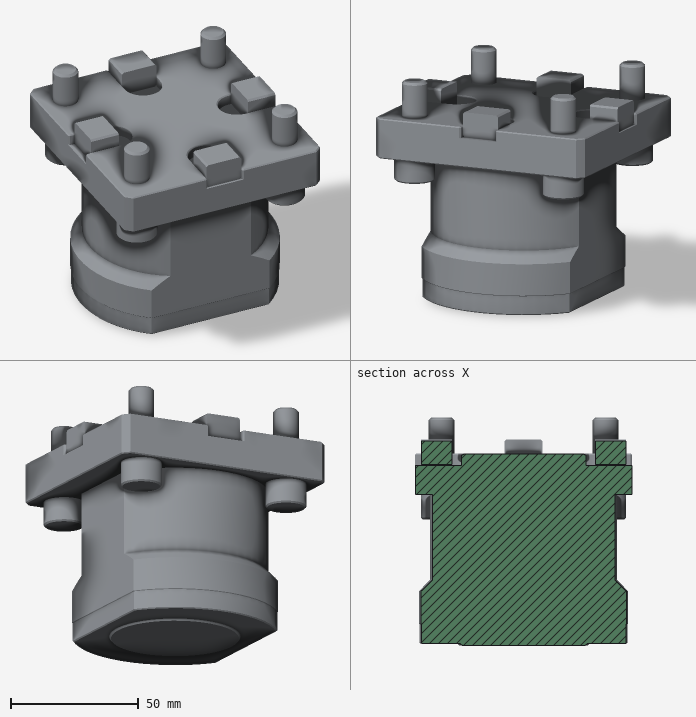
import cadquery as cq

total_height = 89.0
plate_top = 75.0
plate_thickness = 16.0
plate_bottom = plate_top - plate_thickness

plate_x = 90.0
plate_y = 85.0
corner_diameter = 120.0
plate_chamfer = 0.45

flat_width = 64.0
neck_radius = 36.45
body_radius = 40.95
cover_inset = 0.3
pilot_radius = 25.0
pilot_height = 0.7
cover_top = 8.4
cover_chamfer = 0.45
cone_bottom = 21.2
cone_height = body_radius - neck_radius

screw_offset = 32.0
screw_diameter = 10.0
screw_tip_chamfer = 0.9
head_diameter = 16.0
head_height = 9.6
head_chamfer = 0.6

slot_width = 15.0
slot_depth = 4.5
slot_length_x = 23.8
slot_length_y = 23.1
mouth_chamfer = 0.6
key_width = slot_width
key_length = 12.0
key_height = 10.0
key_chamfer = 0.7
key_setback_x = 1.0
key_setback_y = 2.5

slot_floor = plate_top - slot_depth


def key_sides():
    """Angle, distance to the plate side and slot length and key setback for each of the four sides."""
    for quarter in range(4):
        if quarter % 2 == 0:
            yield 90 * quarter, plate_x / 2, slot_length_x, key_setback_x
        else:
            yield 90 * quarter, plate_y / 2, slot_length_y, key_setback_y


def make_slot(angle, side, slot_length):
    """Round-ended slot that flares where it runs out through the plate side, turned to its angle."""
    half_width = slot_width / 2
    half_mouth = half_width + mouth_chamfer
    arc_center = side - slot_length + half_width
    slot = (
        cq.Workplane("XY")
        .moveTo(side, -half_mouth)
        .lineTo(side - mouth_chamfer, -half_width)
        .lineTo(arc_center, -half_width)
        .threePointArc((arc_center - half_width, 0), (arc_center, half_width))
        .lineTo(side - mouth_chamfer, half_width)
        .lineTo(side, half_mouth)
        .close()
        .extrude(slot_depth)
        .translate((0, 0, slot_floor))
    )
    return slot.rotate((0, 0, 0), (0, 0, 1), angle)


def make_plate():
    """Flange with turned corners and open slots, the edges of its top and bottom faces chamfered."""
    plate = cq.Workplane("XY").box(plate_x, plate_y, plate_thickness, centered=(True, True, False))
    corner_turning = cq.Workplane("XY").circle(corner_diameter / 2).extrude(plate_thickness)
    plate = plate.intersect(corner_turning).translate((0, 0, plate_bottom))
    for angle, side, slot_length, _ in key_sides():
        plate = plate.cut(make_slot(angle, side, slot_length))
    return plate.faces(">Z or <Z").edges().chamfer(plate_chamfer)


def flatted(turning, width):
    """Cut a turned solid to two flats across X."""
    height = turning.val().BoundingBox().zmax
    return turning.intersect(cq.Workplane("XY").box(width, plate_y, 2 * height))


def make_body():
    """Body stepping up through a cone to the narrower neck, its lower edge chamfered."""
    profile = [
        (0, cover_top),
        (body_radius, cover_top),
        (body_radius, cone_bottom),
        (neck_radius, cone_bottom + cone_height),
        (neck_radius, plate_bottom),
        (0, plate_bottom),
    ]
    turning = cq.Workplane("XZ").polyline(profile).close().revolve(360, (0, 0), (0, 1))
    return flatted(turning, flat_width).faces("<Z").chamfer(cover_inset)


def make_cover():
    """Thin cover inset from the body outline, with a conical pilot below it."""
    disc = (
        cq.Workplane("XY")
        .workplane(offset=pilot_height)
        .circle(body_radius - cover_inset)
        .extrude(cover_top - pilot_height)
    )
    cover = flatted(disc, flat_width - 2 * cover_inset).faces("<Z").chamfer(cover_chamfer)
    pilot = (
        cq.Workplane("XY")
        .circle(pilot_radius)
        .workplane(offset=pilot_height)
        .circle(pilot_radius + pilot_height)
        .loft()
    )
    return cover.union(pilot)


def make_screws():
    """Screw heads below the plate and shanks passing through to above it."""
    head = cq.Workplane("XY").circle(head_diameter / 2).extrude(head_height)
    head = head.faces("<Z").chamfer(head_chamfer).translate((0, 0, plate_bottom - head_height))
    shank = cq.Workplane("XY").circle(screw_diameter / 2).extrude(total_height - plate_bottom)
    shank = shank.faces(">Z").chamfer(screw_tip_chamfer).translate((0, 0, plate_bottom))
    screw = head.union(shank)
    screws = cq.Workplane("XY")
    for x in (-screw_offset, screw_offset):
        for y in (-screw_offset, screw_offset):
            screws = screws.union(screw.translate((x, y, 0)))
    return screws


def make_key(angle, side, setback):
    """Key block standing on the slot floor, its long edges chamfered."""
    key = cq.Workplane("XY").box(key_length, key_width, key_height, centered=(True, True, False))
    key = key.edges("|X").chamfer(key_chamfer)
    key = key.translate((side - setback - key_length / 2, 0, slot_floor))
    return key.rotate((0, 0, 0), (0, 0, 1), angle)


result = make_plate().union(make_body()).union(make_cover()).union(make_screws())
for angle, side, _, setback in key_sides():
    result = result.union(make_key(angle, side, setback))